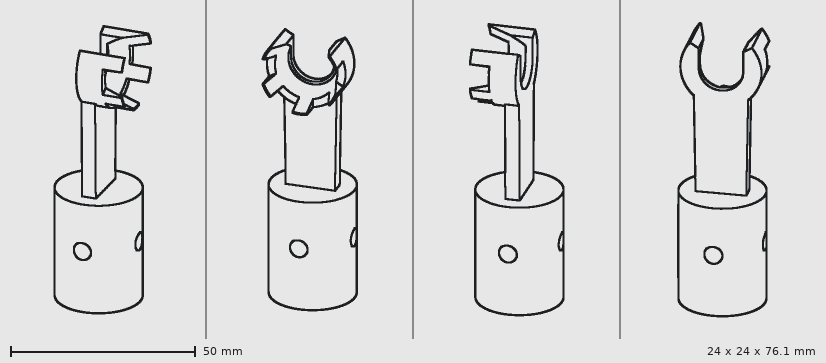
import cadquery as cq
import math

total_height = 76.1
base_diameter = 24.0
base_height = 32.0
cross_hole_diameter = 5.0
cross_hole_height = 18.0

neck_thickness = 4.0
neck_bottom_width = 14.1
neck_top_width = 15.05
neck_top_height = 60.4

ring_radius = 11.25
ring_length = 7.5
bore_radius = 6.15
cone_start_radius = 7.0
cone_end_radius = 10.9

finger_width = 4.0
clip_length = 13.0
lowest_finger_angle = -90
finger_spacing = 60
finger_count = 5
arm_angle = 30

clip_back = -neck_thickness / 2
clip_front = clip_back + clip_length
arm_slope = math.radians(arm_angle)

finger_reach = math.sqrt(ring_radius**2 - (finger_width / 2) ** 2)
tip_rise = finger_reach * math.sin(arm_slope) + finger_width / 2 * math.cos(arm_slope)
ring_height = total_height - tip_rise


def clip_plane(x):
    """Plane normal to X, with its origin on the ring axis."""
    return cq.Workplane("YZ", origin=(x, 0, ring_height))


def make_base():
    base = cq.Workplane("XY").circle(base_diameter / 2).extrude(base_height)
    for plane in ("XZ", "YZ"):
        hole = (
            cq.Workplane(plane)
            .center(0, cross_hole_height)
            .circle(cross_hole_diameter / 2)
            .extrude(base_diameter, both=True)
        )
        base = base.cut(hole)
    return base


def make_neck():
    return (
        cq.Workplane("YZ", origin=(clip_back, 0, 0))
        .moveTo(-neck_bottom_width / 2, base_height)
        .lineTo(neck_bottom_width / 2, base_height)
        .lineTo(neck_top_width / 2, neck_top_height)
        .lineTo(0, ring_height)
        .lineTo(-neck_top_width / 2, neck_top_height)
        .close()
        .extrude(neck_thickness)
    )


def make_fingers():
    """Straight-sided fingers cut from the full-length ring cylinder."""
    bars = cq.Workplane("XY")
    first_angle = lowest_finger_angle - finger_spacing * (finger_count // 2)
    for index in range(finger_count):
        bar = (
            clip_plane(clip_back)
            .transformed(rotate=(0, 0, first_angle + index * finger_spacing))
            .center(ring_radius / 2, 0)
            .rect(ring_radius, finger_width)
            .extrude(clip_length)
        )
        bars = bars.add(bar)
    cylinder = clip_plane(clip_back).circle(ring_radius).extrude(clip_length)
    return cylinder.intersect(bars.combine())


def make_bore():
    """Round-bottomed slot, opening into a cone from the neck's mid-plane forwards."""
    round_bore = clip_plane(clip_back).circle(bore_radius).extrude(clip_length)
    slot = (
        clip_plane(clip_back)
        .center(0, ring_radius / 2)
        .rect(2 * bore_radius, ring_radius)
        .extrude(clip_length)
    )
    cone = (
        cq.Workplane("XY", origin=(0, 0, ring_height))
        .lineTo(0, cone_start_radius)
        .lineTo(clip_front, cone_end_radius)
        .lineTo(clip_front, 0)
        .close()
        .revolve(360, (0, 0, 0), (1, 0, 0))
    )
    return round_bore.union(slot).union(cone)


def make_mouth():
    """V-shaped opening flush with the upper sides of the two top fingers."""
    vertex_height = finger_width / 2 / math.cos(arm_slope)
    half_width = 2 * ring_radius
    edge_height = vertex_height + half_width * math.tan(arm_slope)
    return (
        clip_plane(clip_back)
        .moveTo(0, vertex_height)
        .lineTo(half_width, edge_height)
        .lineTo(-half_width, edge_height)
        .close()
        .extrude(clip_length)
    )


ring = clip_plane(clip_back).circle(ring_radius).extrude(ring_length)
clip = ring.union(make_fingers()).union(make_neck())
clip = clip.cut(make_bore()).cut(make_mouth())

result = make_base().union(clip)